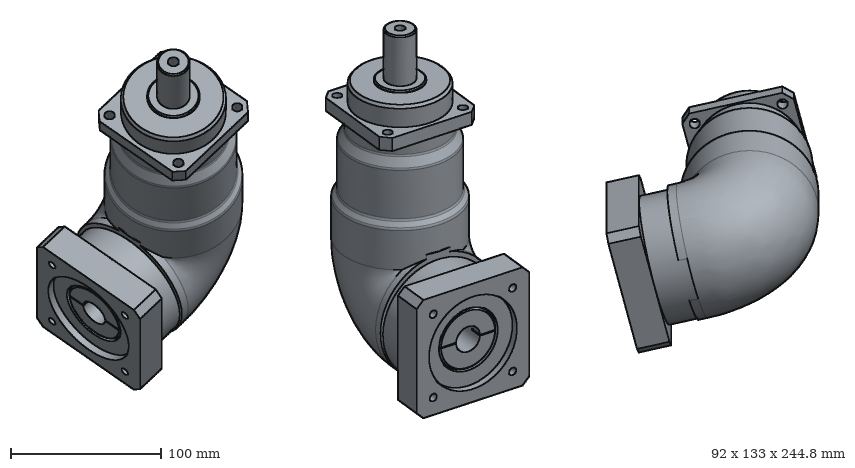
import cadquery as cq
import math


HOUSING_R = 46.0
ELBOW_TOP_Z = 86.2
HOUSING_STEP = (117.3, 122.2)
BODY_R = 42.0
BODY_STEP = (160.8, 168.7)
NECK_R = 37.2
STEP_ROUNDING = 3.0
FLANGE_Z = 178.7
FLANGE_SIDE = 76.5
FLANGE_THICKNESS = 10.0
FLANGE_CORNER = 6.4
FLANGE_HOLE_D = 6.9
FLANGE_HOLE_PITCH = 60.2
PILOT_R = 35.0
PILOT_TOP_Z = 205.1
PILOT_CHAMFER = (2.2, 1.7)
COLLAR_R = 17.6
COLLAR_HEIGHT = 1.5
COLLAR_CHAMFER = 1.0
SHAFT_R = 11.0
SHAFT_TOP_Z = 244.8
SHAFT_CHAMFER = 1.0
CENTER_HOLE_D = 7.3
CENTER_HOLE_DEPTH = 14.7

ELBOW_AXIS_Y = -39.0
ELBOW_END_Y = -45.0
RELIEF_TOP_Z = 95.7
INPUT_NECK_R = 44.0
PLATE_FRONT_Y = -87.0
PLATE_THICKNESS = 22.3
PLATE_SIDE = 90.3
PLATE_CORNER = 5.5
PLATE_HOLE_D = 5.6
PLATE_HOLE_PITCH = 63.6
PLATE_HOLE_DEPTH = 14.7
RECESS_R = 35.3
RECESS_DEPTH = 5.5
HUB_SEAT_R = 23.5
HUB_R = 22.8
HUB_SETBACK = 0.5
HUB_CHAMFER = 1.2
HUB_DEPTH = 9.8
HUB_BORE_R = 9.5
HUB_BORE_DEPTH = 29.4
SLOT_WIDTH = 0.7

DRILL_TIP_ANGLE = 118.0

INPUT_Z = PLATE_SIDE / 2
ELBOW_END_Z = ELBOW_TOP_Z + ELBOW_AXIS_Y
PLATE_BACK_Y = PLATE_FRONT_Y + PLATE_THICKNESS
RECESS_FLOOR_Y = PLATE_FRONT_Y + RECESS_DEPTH
HUB_FACE_Y = RECESS_FLOOR_Y + HUB_SETBACK


def upright_cylinder(radius, bottom, top):
    return cq.Workplane("XY").workplane(offset=bottom).circle(radius).extrude(top - bottom)


def input_cylinder(radius, front, back, axis_z=INPUT_Z):
    """Cylinder along Y between two Y positions."""
    plane = cq.Workplane("XZ", origin=(0, back, axis_z))
    return plane.circle(radius).extrude(back - front)


def drill(diameter, depth):
    """Blind drill shape pointing down from the origin, with a conical tip."""
    radius = diameter / 2
    tip = radius / math.tan(math.radians(DRILL_TIP_ANGLE / 2))
    profile = [(0, 0), (radius, 0), (radius, -depth), (0, -depth - tip)]
    return cq.Workplane("XZ").polyline(profile).close().revolve(360, (0, 0), (0, 1))


def housing():
    """Turned housing from the elbow to the flange, with rounded conical steps."""
    profile = [
        (0, ELBOW_TOP_Z),
        (HOUSING_R, ELBOW_TOP_Z),
        (HOUSING_R, HOUSING_STEP[0]),
        (BODY_R, HOUSING_STEP[1]),
        (BODY_R, BODY_STEP[0]),
        (NECK_R, BODY_STEP[1]),
        (NECK_R, FLANGE_Z),
        (0, FLANGE_Z),
    ]
    turned = cq.Workplane("XZ").polyline(profile).close().revolve(360, (0, 0), (0, 1))
    reach = 2 * HOUSING_R
    low = HOUSING_STEP[0] - STEP_ROUNDING
    high = BODY_STEP[1] + STEP_ROUNDING
    step_edges = cq.selectors.BoxSelector((-reach, -reach, low), (reach, reach, high))
    return turned.edges("%CIRCLE").edges(step_edges).fillet(STEP_ROUNDING)


def elbow():
    """Quarter turn of the housing circle, then a short straight end towards the input."""
    half_chord = math.sqrt(HOUSING_R**2 - ELBOW_AXIS_Y**2)
    section = (
        cq.Workplane("XY", origin=(0, 0, ELBOW_TOP_Z))
        .moveTo(-half_chord, ELBOW_AXIS_Y)
        .threePointArc((0, HOUSING_R), (half_chord, ELBOW_AXIS_Y))
        .close()
    )
    bend = section.revolve(90, (2.5, ELBOW_AXIS_Y), (0, ELBOW_AXIS_Y))
    return bend.union(input_cylinder(HOUSING_R, ELBOW_END_Y, ELBOW_AXIS_Y, ELBOW_END_Z))


def relief():
    """Block that trims the housing flush with the end of the elbow."""
    length = ELBOW_END_Y - PLATE_FRONT_Y
    block = cq.Workplane("XY").box(2 * HOUSING_R, length, RELIEF_TOP_Z, centered=(True, False, False))
    return block.translate((0, PLATE_FRONT_Y, 0))


def output_flange():
    plate = (
        cq.Workplane("XY", origin=(0, 0, FLANGE_Z))
        .rect(FLANGE_SIDE, FLANGE_SIDE)
        .extrude(FLANGE_THICKNESS)
        .edges("|Z")
        .chamfer(FLANGE_CORNER)
    )
    holes = plate.faces(">Z").workplane().rect(FLANGE_HOLE_PITCH, FLANGE_HOLE_PITCH, forConstruction=True)
    return holes.vertices().hole(FLANGE_HOLE_D)


def output_shaft():
    """Pilot, seal collar and shaft above the flange."""
    collar_top = PILOT_TOP_Z + COLLAR_HEIGHT
    pilot = upright_cylinder(PILOT_R, FLANGE_Z, PILOT_TOP_Z).faces(">Z").chamfer(*PILOT_CHAMFER)
    collar = upright_cylinder(COLLAR_R, PILOT_TOP_Z, collar_top).faces(">Z").chamfer(COLLAR_CHAMFER)
    shaft = upright_cylinder(SHAFT_R, PILOT_TOP_Z, SHAFT_TOP_Z).faces(">Z").chamfer(SHAFT_CHAMFER)
    center_hole = drill(CENTER_HOLE_D, CENTER_HOLE_DEPTH).translate((0, 0, SHAFT_TOP_Z))
    return pilot.union(collar).union(shaft).cut(center_hole)


def input_plate():
    plate = (
        cq.Workplane("XZ", origin=(0, PLATE_BACK_Y, INPUT_Z))
        .rect(PLATE_SIDE, PLATE_SIDE)
        .extrude(PLATE_THICKNESS)
        .edges("|Y")
        .chamfer(PLATE_CORNER)
    )
    hole = drill(PLATE_HOLE_D, PLATE_HOLE_DEPTH).rotate((0, 0, 0), (1, 0, 0), 90)
    offset = PLATE_HOLE_PITCH / 2
    for x in (-offset, offset):
        for dz in (-offset, offset):
            plate = plate.cut(hole.translate((x, PLATE_FRONT_Y, INPUT_Z + dz)))
    return plate


def clamping_hub():
    """Chamfered hub with a slot across it, standing in its seat."""
    seat_floor = HUB_FACE_Y + HUB_DEPTH
    hub = input_cylinder(HUB_R, HUB_FACE_Y, seat_floor).faces("<Y").chamfer(HUB_CHAMFER)
    slot = cq.Workplane("XY").box(2 * HUB_R, HUB_DEPTH, SLOT_WIDTH, centered=(True, False, True))
    return hub.cut(slot.translate((0, HUB_FACE_Y, INPUT_Z)))


gearbox = housing().union(elbow()).cut(relief())
gearbox = gearbox.union(input_cylinder(INPUT_NECK_R, PLATE_BACK_Y, ELBOW_AXIS_Y))
gearbox = gearbox.union(output_flange()).union(output_shaft()).union(input_plate())
gearbox = gearbox.cut(input_cylinder(RECESS_R, PLATE_FRONT_Y, RECESS_FLOOR_Y))
gearbox = gearbox.cut(input_cylinder(HUB_SEAT_R, RECESS_FLOOR_Y, HUB_FACE_Y + HUB_DEPTH))
gearbox = gearbox.union(clamping_hub())
result = gearbox.cut(input_cylinder(HUB_BORE_R, HUB_FACE_Y, HUB_FACE_Y + HUB_BORE_DEPTH))